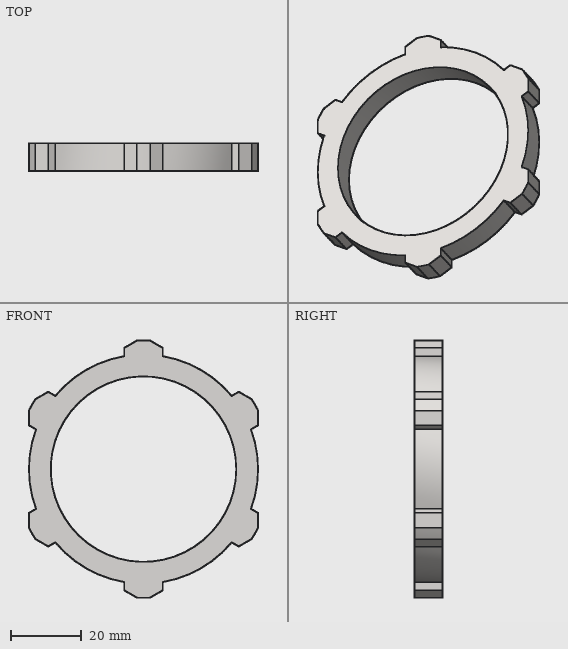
import cadquery as cq
import math

thickness = 8.0
bore_diameter = 52.5
rim_diameter = 65.0
lug_tip_diameter = 73.0
lug_width = 11.0
lug_count = 6

lug_pitch_angle = 360.0 / lug_count
hexagon_corner_diameter = rim_diameter / math.cos(math.pi / lug_count)


def back_plane():
    """Sketch plane on the +Y face, so a full-thickness extrusion is centred on Y = 0."""
    return cq.Workplane("XZ", origin=(0, thickness / 2, 0))


def disc(diameter):
    """Solid disc about the Y axis."""
    return back_plane().circle(diameter / 2).extrude(thickness)


def lug_bars():
    """Bars across the part whose parallel sides each form two opposite lugs."""
    bar = back_plane().rect(lug_width, hexagon_corner_diameter).extrude(thickness)
    bars = bar
    for index in range(1, lug_count // 2):
        bars = bars.union(bar.rotate((0, 0, 0), (0, 1, 0), index * lug_pitch_angle))
    return bars


def lug_envelope():
    """Hexagon with a corner at each lug, its corners rounded to the tip circle."""
    hexagon = (
        back_plane()
        .transformed(rotate=(0, 0, 90))
        .polygon(lug_count, hexagon_corner_diameter)
        .extrude(thickness)
    )
    return hexagon.intersect(disc(lug_tip_diameter))


lugs = lug_bars().intersect(lug_envelope())
result = disc(rim_diameter).union(lugs).cut(disc(bore_diameter))